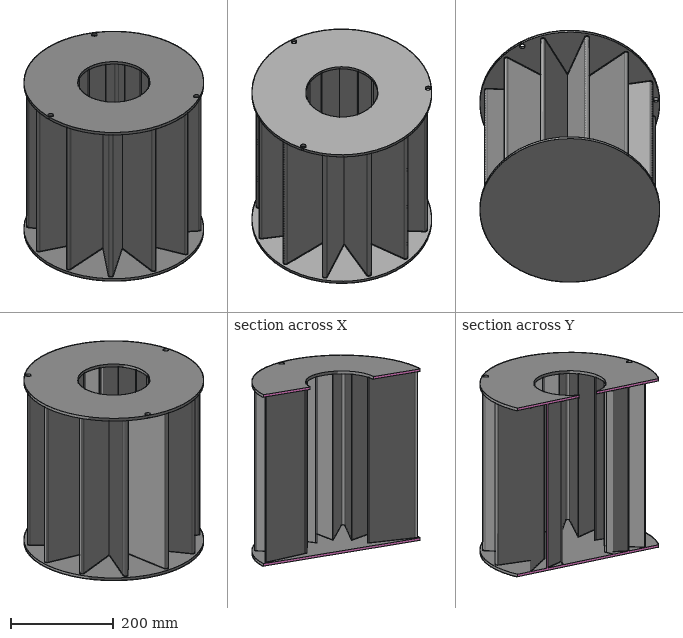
import cadquery as cq
import math

height = 350.0
plate_diameter = 350.0
plate_thickness = 6.0
bore_diameter = 140.0

pleat_count = 12
pleat_pitch = 360.0 / pleat_count
sheet_thickness = 1.58
fold_outer_radius = 5.0
fold_centre_radius = 165.0
fold_inner_radius = fold_outer_radius - sheet_thickness
valley_radius = 73.5

rim_hole_count = 3
rim_hole_diameter = 10.5
rim_hole_circle_radius = 168.0
first_rim_hole_angle = pleat_pitch / 2

valley_angle = math.radians(pleat_pitch / 2)
valley_to_fold = fold_centre_radius - valley_radius * math.cos(valley_angle)
valley_offset = valley_radius * math.sin(valley_angle)
flank_slope = math.atan2(valley_offset, valley_to_fold) - math.asin(
    fold_outer_radius / math.hypot(valley_to_fold, valley_offset)
)

inner_ridge_radius = valley_radius - sheet_thickness / math.sin(valley_angle + flank_slope)


def polar(radius, angle):
    """Point at a radius and an angle in degrees about the Z axis."""
    turn = math.radians(angle)
    return (radius * math.cos(turn), radius * math.sin(turn))


def star_prism(valley, fold_radius):
    """Solid star between the plates, with sharp valleys and rounded tips."""
    tangent_x = fold_centre_radius + fold_radius * math.sin(flank_slope)
    tangent_y = fold_radius * math.cos(flank_slope)
    tangent_radius = math.hypot(tangent_x, tangent_y)
    tangent_angle = math.degrees(math.atan2(tangent_y, tangent_x))

    outline = cq.Workplane("XY", origin=(0, 0, plate_thickness))
    outline = outline.moveTo(*polar(valley, -pleat_pitch / 2))
    for index in range(pleat_count):
        angle = index * pleat_pitch
        if index > 0:
            outline = outline.lineTo(*polar(valley, angle - pleat_pitch / 2))
        outline = outline.lineTo(*polar(tangent_radius, angle - tangent_angle))
        outline = outline.threePointArc(
            polar(fold_centre_radius + fold_radius, angle),
            polar(tangent_radius, angle + tangent_angle),
        )
    return outline.close().extrude(height - 2 * plate_thickness)


def pleated_wall():
    """Folded sheet of constant thickness, open on the inside."""
    outer = star_prism(valley_radius, fold_outer_radius)
    inner = star_prism(inner_ridge_radius, fold_inner_radius)
    return outer.cut(inner)


def plate(bottom):
    """Round end plate with its lower face at the given height."""
    return cq.Workplane("XY", origin=(0, 0, bottom)).circle(plate_diameter / 2).extrude(plate_thickness)


def top_plate():
    """End plate with the central bore and the small rim holes."""
    bored = plate(height - plate_thickness).faces(">Z").workplane().hole(bore_diameter)
    return (
        bored.faces(">Z")
        .workplane()
        .polarArray(rim_hole_circle_radius, first_rim_hole_angle, 360, rim_hole_count)
        .hole(rim_hole_diameter)
    )


bottom_plate = plate(0)
result = bottom_plate.union(pleated_wall()).union(top_plate())